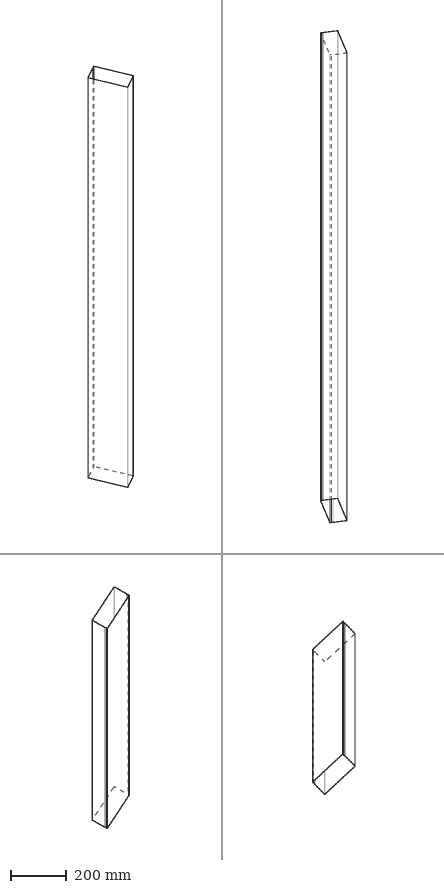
import cadquery as cq

length = 2000.0
width = 152.0
depth = 65.0

sheet = 1.0

bend_radius = 1.5

lip_depth = 5.0
step_depth = 5.0
step_in = 1.5

back = depth / 2
front = -depth / 2
lid_inside = back - sheet
lip_end = back - lip_depth
step_start = lip_end - step_depth
outer_half = width / 2
inner_half = outer_half - sheet
tip_half = outer_half - step_in


def extrude_symmetric(right_half):
    """Mirror a half outline across X = 0 and extrude it over the full length."""
    left_half = [(-x, y) for x, y in reversed(right_half)]
    sketch = cq.Workplane("XY").workplane(offset=-length / 2).polyline(right_half + left_half)
    return sketch.close().extrude(length)


def bend_corners(blank):
    """Round the outer and inner corners where the web turns into its flanges."""
    outer_bend = blank.edges("|Z").edges("<Y").fillet(bend_radius)
    web_inside = cq.selectors.BoxSelector(
        (-outer_half, front + sheet / 2, -length),
        (outer_half, front + sheet * 3 / 2, length),
    )
    return outer_bend.edges("|Z").edges(web_inside).fillet(bend_radius - sheet)


def make_trough():
    """U channel: web on -Y with bent corners, flange tips stepped in under the lid."""
    blank = extrude_symmetric([
        (outer_half, front),
        (outer_half, step_start),
        (tip_half, lip_end),
        (tip_half, lid_inside),
        (tip_half - sheet, lid_inside),
        (tip_half - sheet, lip_end),
        (inner_half, step_start),
        (inner_half, front + sheet),
    ])
    return bend_corners(blank)


def make_lid():
    """Shallow cover on +Y whose lips lie flush with the trough sides."""
    return extrude_symmetric([
        (outer_half, back),
        (outer_half, lip_end),
        (outer_half - sheet, lip_end),
        (outer_half - sheet, lid_inside),
    ])


trough = make_trough()
lid = make_lid()

result = cq.Compound.makeCompound([trough.val(), lid.val()])